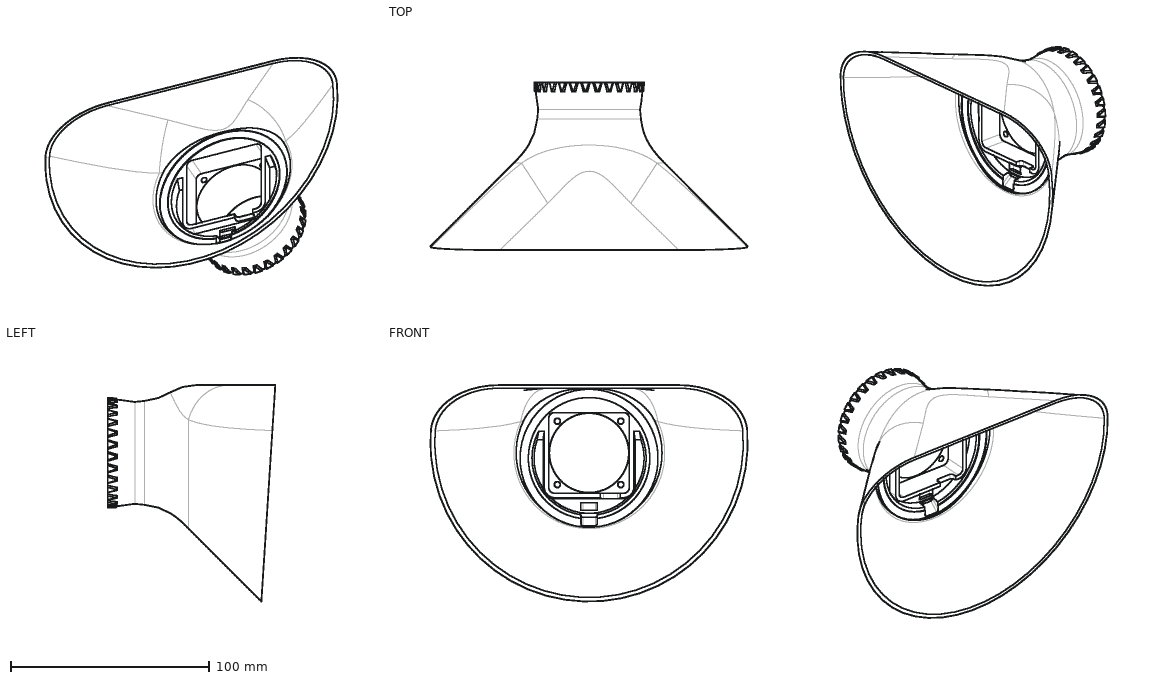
import cadquery as cq
import math


HOOD_TOP = 34.2
HOOD_BOTTOM = -74.9
RIM_TOP_Y = -84.5
RIM_BOTTOM_Y = -77.5
CONE_APEX_Y = -2.5
CONE_START_Y = -40.5
TOP_BLEND = 25.4
WALL = 1.6
SPAN = 119.8

WAIST_Y = -13.5
WAIST_RADIUS = 25.7
NECK_END_RADIUS = 27.0
NECK_BULGE_Y = -7.2
NECK_BULGE_RADIUS = 26.7
THROAT_Y = -18.4
THROAT_RADIUS = 26.2

TOOTH_COUNT = 28
TOOTH_TIP_RADIUS = 27.6
TOOTH_ROOT_RADIUS = 26.4
TOOTH_LENGTH = 5.3
TOOTH_BACK_WIDTH = 5.7
TOOTH_FRONT_WIDTH = 2.9
TOOTH_FLANK = 1.1
TOOTH_PHASE = 9.0

SEAT_Y = -41.5
SEAT_STEP = 0.5
SEAT_CENTER_Z = -2.7
RING_DIAMETER = 69.5
DISC_DIAMETER = 61.2
DISC_Y = SEAT_Y + 2 * SEAT_STEP

SOCKET_SIDE = 40.5
SOCKET_CORNER = 2.9
SOCKET_WALL = 2.2
SOCKET_DEPTH = 12.1
SOCKET_WALL_DRAFT = 9.0
BORE_DIAMETER = 40.0
SCREW_DIAMETER = 2.9
SCREW_SPACING = 32.0

CHANNEL_DIAMETER = 57.5
CHANNEL_DEPTH = 4.2
CHANNEL_DRAFT = 14.0
CHANNEL_FLOOR_Y = DISC_Y + CHANNEL_DEPTH
CHANNEL_END_Z = 10.9

KEY_WIDTH = 8.3
KEY_ROUND = 1.0
KEY_SLOT_TOP = -25.0
KEY_SLOT_HEIGHT = 3.8
KEY_SLOT_DEPTH = 1.6
RAMP_STEP = 0.3
RAMP_Y = CHANNEL_FLOOR_Y + RAMP_STEP
RAMP_FRONT_Z = -37.0
RAMP_BACK_Z = -32.5
RAMP_TOP_Z = -30.5
WIRE_NOTCH_X = 10.7
WIRE_NOTCH_WIDTH = 9.9
WIRE_NOTCH_DEPTH = 3.2
WIRE_NOTCH_ROUND = 1.5


def facing_front(y):
    """Work plane at the given Y whose normal points to the back of the part."""
    return cq.Workplane(cq.Plane((0, y, 0), (-1, 0, 0), (0, 1, 0)))


def cylinder(diameter, y_start, y_end, z=0):
    return facing_front(y_start).center(0, z).circle(diameter / 2).extrude(y_end - y_start)


def rounded_square(side, corner, y_start, y_end):
    block = facing_front(y_start).rect(side, side).extrude(y_end - y_start)
    return block.edges("|Y").fillet(corner)


def flare(inset):
    """Solid of the neck and hood; an inset moves the cone, flat top and blend inwards."""
    cone_start_radius = CONE_APEX_Y - CONE_START_Y
    top = HOOD_TOP - inset
    body = (
        cq.Workplane("XY")
        .moveTo(0, 0)
        .lineTo(NECK_END_RADIUS, 0)
        .threePointArc((NECK_BULGE_RADIUS, NECK_BULGE_Y), (WAIST_RADIUS, WAIST_Y))
        .lineTo(THROAT_RADIUS, THROAT_Y)
        .spline(
            [(cone_start_radius, CONE_START_Y)],
            tangents=[(THROAT_RADIUS - WAIST_RADIUS, THROAT_Y - WAIST_Y), (1, -1)],
            includeCurrent=True,
        )
        .lineTo(SPAN + CONE_APEX_Y, -SPAN)
        .lineTo(0, -SPAN)
        .close()
        .revolve(360, (0, 0, 0), (0, 1, 0))
        .translate((0, -inset * math.sqrt(2), 0))
    )
    above = cq.Workplane("XY").workplane(offset=top).rect(4 * SPAN, 4 * SPAN).extrude(2 * SPAN)
    body = body.cut(above)
    return body.faces(">Z").edges("not <Y").fillet(TOP_BLEND - inset)


def in_front_of_rim():
    """Everything beyond the slanted plane of the rim."""
    lean = (RIM_TOP_Y - RIM_BOTTOM_Y) / (HOOD_TOP - HOOD_BOTTOM)
    corners = [
        (RIM_TOP_Y + lean * SPAN, HOOD_TOP + SPAN),
        (RIM_BOTTOM_Y - lean * SPAN, HOOD_BOTTOM - SPAN),
        (-2 * SPAN, HOOD_BOTTOM - SPAN),
        (-2 * SPAN, HOOD_TOP + SPAN),
    ]
    return cq.Workplane("YZ").polyline(corners).close().extrude(2 * SPAN, both=True)


def hood():
    """Thin hood in front of the seat, solid neck behind it."""
    behind_seat = cylinder(4 * SPAN, SEAT_Y, SPAN)
    return flare(0).cut(flare(WALL).cut(behind_seat)).cut(in_front_of_rim())


def tooth_outline(radius, flank):
    back = TOOTH_BACK_WIDTH / 2 - flank
    front = TOOTH_FRONT_WIDTH / 2 - flank
    front_y = flank - TOOTH_LENGTH
    corners = [(-back, 0, radius), (back, 0, radius), (front, front_y, radius), (-front, front_y, radius)]
    return cq.Wire.makePolygon([cq.Vector(*corner) for corner in corners], close=True)


def teeth():
    """Ring of wedges that stand out from the neck and narrow towards the hood."""
    root = tooth_outline(TOOTH_ROOT_RADIUS, 0)
    tip = tooth_outline(TOOTH_TIP_RADIUS, TOOTH_FLANK)
    wedge = cq.Workplane(cq.Solid.makeLoft([root, tip], True))
    ring = cq.Workplane("XY")
    for i in range(TOOTH_COUNT):
        ring = ring.add(wedge.rotate((0, 0, 0), (0, 1, 0), TOOTH_PHASE + i * 360 / TOOTH_COUNT))
    return ring.combine()


def seat_steps():
    ring = cylinder(RING_DIAMETER, SEAT_Y - 2 * WALL, SEAT_Y + SEAT_STEP, SEAT_CENTER_Z)
    disc = cylinder(DISC_DIAMETER, SEAT_Y, DISC_Y, SEAT_CENTER_Z)
    return ring.union(disc)


def socket():
    return (
        rounded_square(SOCKET_SIDE, SOCKET_CORNER, SEAT_Y, DISC_Y + SOCKET_DEPTH)
        .union(cylinder(BORE_DIAMETER, SEAT_Y, 0))
        .union(
            facing_front(SEAT_Y)
            .rect(SCREW_SPACING, SCREW_SPACING, forConstruction=True)
            .vertices()
            .circle(SCREW_DIAMETER / 2)
            .extrude(-SEAT_Y)
        )
    )


def channel():
    """Tapered round pocket that leaves the socket wall and everything above the slanted ends."""
    outer_side = SOCKET_SIDE + 2 * SOCKET_WALL
    pocket = (
        facing_front(DISC_Y)
        .center(0, SEAT_CENTER_Z)
        .circle(CHANNEL_DIAMETER / 2)
        .extrude(CHANNEL_DEPTH, taper=CHANNEL_DRAFT)
    )
    outline = cq.Sketch().rect(outer_side, outer_side).vertices().fillet(SOCKET_CORNER + SOCKET_WALL)
    socket_wall = facing_front(DISC_Y).placeSketch(outline).extrude(CHANNEL_DEPTH, taper=-SOCKET_WALL_DRAFT)
    above_ends = (
        cq.Workplane("YZ")
        .polyline(
            [
                (DISC_Y, CHANNEL_END_Z),
                (CHANNEL_FLOOR_Y, CHANNEL_END_Z - CHANNEL_DEPTH),
                (CHANNEL_FLOOR_Y, CHANNEL_DIAMETER),
                (DISC_Y, CHANNEL_DIAMETER),
            ]
        )
        .close()
        .extrude(CHANNEL_DIAMETER, both=True)
    )
    return pocket.cut(socket_wall).cut(above_ends)


def floor_rounded_slot(x, top, width, height, y_start, depth, corner):
    """Straight slot along Z whose floor curves up into its two sides."""
    slot = (
        facing_front(y_start)
        .center(-x, top - height / 2)
        .rect(width, height)
        .extrude(depth)
    )
    return slot.faces(">Y").edges("|Z").fillet(corner)


def key_slot():
    return floor_rounded_slot(
        0, KEY_SLOT_TOP, KEY_WIDTH, KEY_SLOT_HEIGHT, CHANNEL_FLOOR_Y, KEY_SLOT_DEPTH, KEY_ROUND
    )


def wire_notch():
    """Gap in the bottom wall of the socket."""
    return floor_rounded_slot(
        WIRE_NOTCH_X,
        -SOCKET_SIDE / 2,
        WIRE_NOTCH_WIDTH,
        2 * SOCKET_WALL,
        DISC_Y,
        WIRE_NOTCH_DEPTH,
        WIRE_NOTCH_ROUND,
    )


def ramp_notch():
    """Notch through the bottom of the seat with a floor that slopes along the flare."""
    notch = (
        cq.Workplane("YZ")
        .polyline(
            [
                (SEAT_Y, RAMP_FRONT_Z),
                (RAMP_Y, RAMP_BACK_Z),
                (RAMP_Y, RAMP_TOP_Z),
                (SEAT_Y, RAMP_TOP_Z),
            ]
        )
        .close()
        .extrude(KEY_WIDTH / 2, both=True)
    )
    ramp_sides = cq.selectors.BoxSelector(
        (-KEY_WIDTH, SEAT_Y, RAMP_FRONT_Z), (KEY_WIDTH, RAMP_Y, RAMP_BACK_Z)
    )
    return notch.edges(ramp_sides).edges("not |X").fillet(KEY_ROUND)


result = hood().union(teeth())
for cut in (seat_steps(), socket(), channel(), key_slot(), ramp_notch(), wire_notch()):
    result = result.cut(cut)